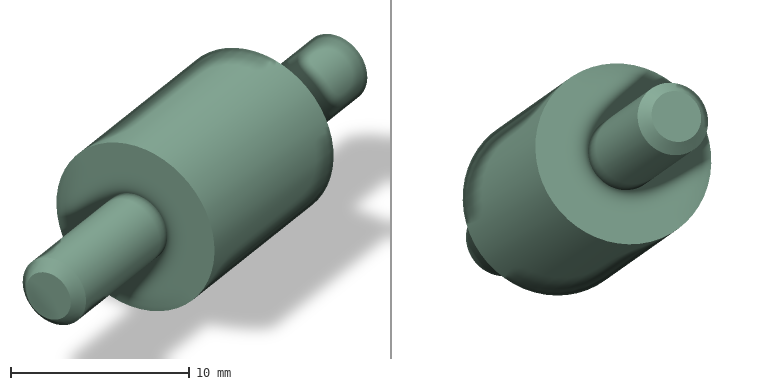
import cadquery as cq

body_diameter = 10.41
body_length = 12.7
stud_diameter = 4.17
overall_length = 31.24
chamfer_size = 0.62

body_radius = body_diameter / 2
body_end = body_length / 2
stud_radius = stud_diameter / 2
stud_end = overall_length / 2


def make_stepped_round():
    """Body and both studs, revolved from a half profile in the YZ plane."""
    half_profile = (
        cq.Workplane("YZ")
        .moveTo(-stud_end, 0)
        .lineTo(-stud_end, stud_radius)
        .lineTo(-body_end, stud_radius)
        .lineTo(-body_end, body_radius)
        .lineTo(body_end, body_radius)
        .lineTo(body_end, stud_radius)
        .lineTo(stud_end, stud_radius)
        .lineTo(stud_end, 0)
        .close()
    )
    return half_profile.revolve(360, (0, 0, 0), (1, 0, 0))


def chamfer_stud_tip(part, tip_face):
    """Break the rim of one stud's end face at 45 degrees."""
    return part.faces(tip_face).edges().chamfer(chamfer_size)


result = make_stepped_round()
for tip_face in ("<Y", ">Y"):
    result = chamfer_stud_tip(result, tip_face)